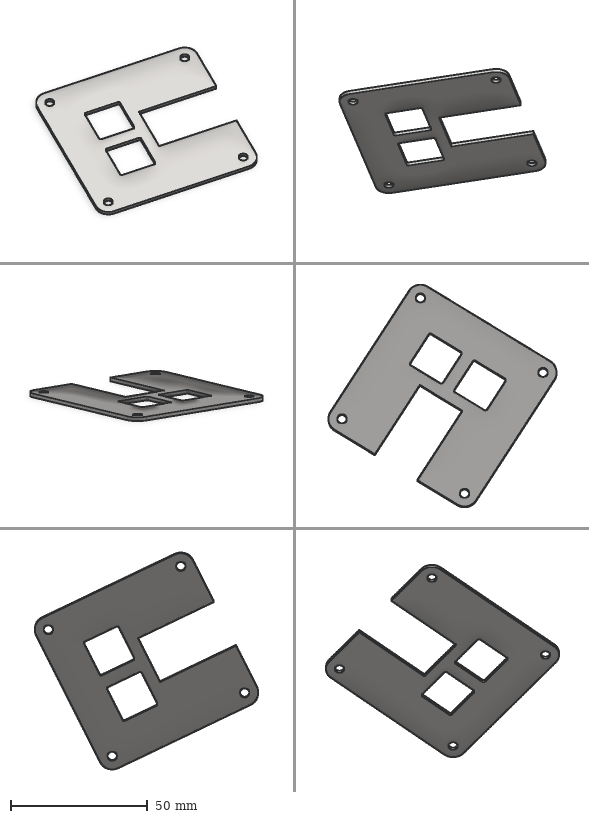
import cadquery as cq

plate_width = 63.0
plate_length = 64.0
plate_thickness = 1.5
corner_radius = 5.0

hole_diameter = 3.4
hole_spacing_x = plate_width - 2 * corner_radius
hole_spacing_y = plate_length - 2 * corner_radius

slot_width = 18.3
slot_depth = 31.0

window_size = 14.1
window_corner_radius = 0.65
window_pitch = 19.1
window_center_y = -10.55


def make_plate():
    return (
        cq.Workplane("XY")
        .rect(plate_width, plate_length)
        .extrude(plate_thickness)
        .edges("|Z")
        .fillet(corner_radius)
    )


def make_mounting_holes():
    return (
        cq.Workplane("XY")
        .rect(hole_spacing_x, hole_spacing_y, forConstruction=True)
        .vertices()
        .circle(hole_diameter / 2)
        .extrude(plate_thickness)
    )


def make_slot():
    return (
        cq.Workplane("XY")
        .center(0, (plate_length - slot_depth) / 2)
        .rect(slot_width, slot_depth)
        .extrude(plate_thickness)
    )


def make_window(center_x):
    return (
        cq.Workplane("XY")
        .center(center_x, window_center_y)
        .rect(window_size, window_size)
        .extrude(plate_thickness)
        .edges("|Z")
        .fillet(window_corner_radius)
    )


result = make_plate().cut(make_mounting_holes()).cut(make_slot())
for side in (-1, 1):
    result = result.cut(make_window(side * window_pitch / 2))